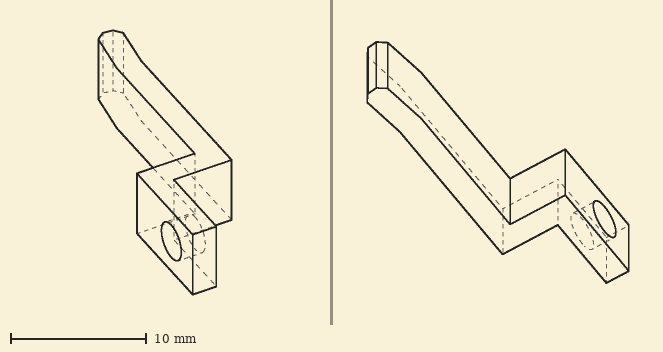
import cadquery as cq

length = 24.4
height = 5.6
thickness = 2.0

step_x = 15.96
arm_y = 4.88
bend_front_x = 4.2
bend_back_x = 4.35

tip_corners = [
    (0.51, 5.4),
    (0.0, 6.05),
    (0.1, 6.85),
    (0.73, 7.37),
]

hole_diameter = 3.0
hole_x = 21.2


def make_strip():
    """Extrude the strip outline upward."""
    outline = [
        (length, 0),
        (step_x, 0),
        (step_x, arm_y),
        (bend_front_x, arm_y),
        *tip_corners,
        (bend_back_x, arm_y + thickness),
        (step_x + thickness, arm_y + thickness),
        (step_x + thickness, thickness),
        (length, thickness),
    ]
    return cq.Workplane("XY").polyline(outline).close().extrude(height)


def make_hole():
    """Cylinder along Y that passes through the foot at mid height."""
    return (
        cq.Workplane("XZ")
        .center(hole_x, height / 2)
        .circle(hole_diameter / 2)
        .extrude(-thickness)
    )


result = make_strip().cut(make_hole())